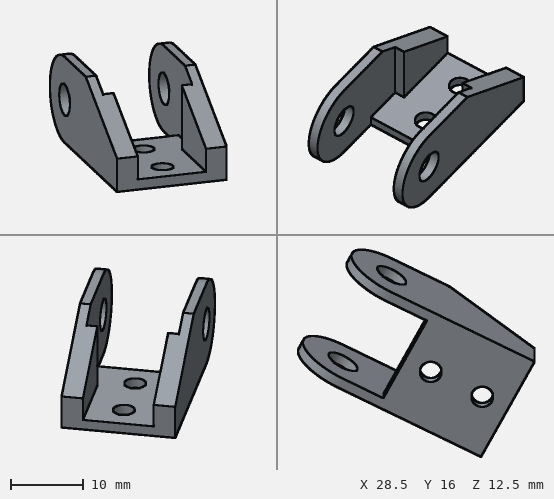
import cadquery as cq
import math

length = 28.5
width = 16.0
height = 12.5

wall = 1.5
floor_start = 12.5
pad_start = 18.25

end_radius = height / 2
slope_start = 15.25
slope_angle = 30.0
rear_height = height - (length - slope_start) * math.tan(math.radians(slope_angle))

pivot_diameter = 4.5
mount_diameter = 3.0
mount_positions = (16.5, 24.5)


def cheek_profile():
    """Side outline: rounded front end, flat top, then a slope down to the rear."""
    return (
        cq.Workplane("XZ")
        .moveTo(end_radius, 0)
        .lineTo(length, 0)
        .lineTo(length, rear_height)
        .lineTo(slope_start, height)
        .lineTo(end_radius, height)
        .threePointArc((0, end_radius), (end_radius, 0))
        .close()
    )


def block(start, depth, tall):
    """Box centred on Y, resting on Z = 0, from X = start to the rear end."""
    return cq.Workplane("XY").box(
        length - start, depth, tall, centered=(False, True, False)
    ).translate((start, 0, 0))


body = cheek_profile().extrude(width / 2, both=True)

inner_width = width - 2 * wall
padded_width = inner_width - 2 * wall
channel = block(0, inner_width, height)
floor = block(floor_start, inner_width, wall)
pads = block(pad_start, inner_width, height).cut(block(pad_start, padded_width, height))
body = body.cut(channel.cut(floor).cut(pads))

pivot = (
    cq.Workplane("XZ")
    .center(end_radius, end_radius)
    .circle(pivot_diameter / 2)
    .extrude(width, both=True)
)

mounts = (
    cq.Workplane("XY")
    .pushPoints([(x, 0) for x in mount_positions])
    .circle(mount_diameter / 2)
    .extrude(wall)
)

result = body.cut(pivot).cut(mounts)